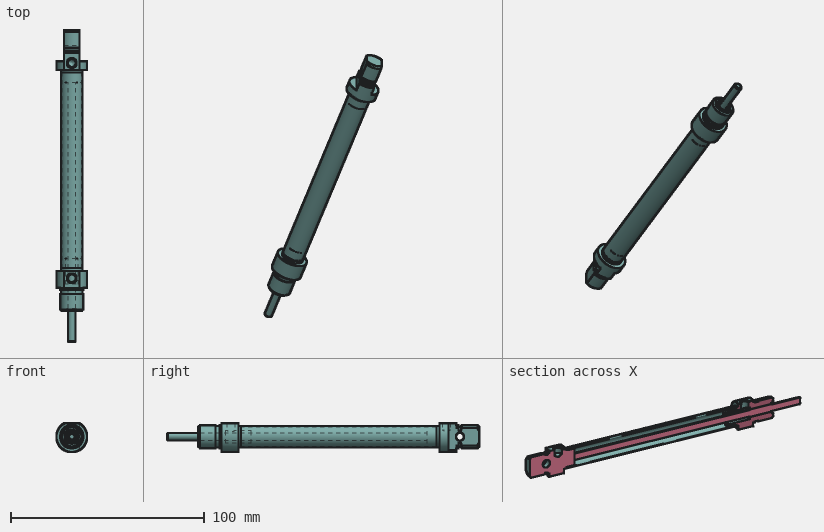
import cadquery as cq
import math


total_length = 161.0
head_diameter = 16.0
port_flat_height = 7.0
thread_diameter = 12.0
thread_chamfer = 1.0
groove_diameter = 11.2

barrel_diameter = 11.27
barrel_bore = 10.0
collar_length = 1.4
spigot_length = 5.0

tang_width = 8.1
rear_groove_diameter = 10.4
rear_groove_start_at = 9.0
rear_groove_end_at = 10.8
rear_groove_slant = 0.5
rear_head_at = 11.8
head_length = 8.8
tang_flat_end_at = 16.0
pivot_hole_diameter = 4.0
pivot_hole_at = 10.0
rear_port_at = 17.0

nose_length = 12.0
shoulder_length = 1.0
front_groove_length = 2.0
rod_extension = 16.0
seal_recess_diameter = 7.3
seal_recess_depth = 0.3
seal_lip_diameter = 6.5
seal_lip_depth = 1.0
seal_lip_floor_diameter = 5.0
cushion_bore = 6.5
cushion_end_clearance = 3.0

port_diameter = 4.13
port_mouth_diameter = 5.1
port_mouth_depth = 0.5
rear_port_depth = 3.5
front_port_setback = 5.0
front_port_depth = 5.5
drill_point_angle = 118.0

rod_diameter = 4.0
rod_chamfer = 0.5

rear_head_end_at = rear_head_at + head_length
barrel_start_at = rear_head_end_at + collar_length
rear_spigot_end_at = barrel_start_at + spigot_length
nose_end_at = total_length - rod_extension
front_head_end_at = nose_end_at - nose_length
front_head_at = front_head_end_at - head_length
barrel_end_at = front_head_at - collar_length
front_spigot_at = barrel_end_at - spigot_length
shoulder_end_at = front_head_end_at + shoulder_length
front_groove_end_at = shoulder_end_at + front_groove_length
front_port_at = front_head_end_at - front_port_setback
cushion_end_at = front_port_at + cushion_end_clearance


def turned(profile):
    """Solid of revolution about Y from (distance from the rear face, diameter) corners."""
    points = [(diameter / 2, -at) for at, diameter in profile]
    first_at = profile[0][0]
    last_at = profile[-1][0]
    outline = cq.Workplane("XY").polyline([(0, -first_at), *points, (0, -last_at)]).close()
    return outline.revolve(360, (0, 0, 0), (0, 1, 0))


def bar(start_at, end_at, diameter):
    """Plain cylinder along Y between two distances from the rear face."""
    return turned([(start_at, diameter), (end_at, diameter)])


def port_flat(start_at, end_at):
    """Block that cuts the flat on top of a head."""
    length = end_at - start_at
    block = cq.Workplane("XY").box(head_diameter, length, head_diameter, centered=(True, True, False))
    return block.translate((0, -(start_at + end_at) / 2, port_flat_height))


def port(at, depth):
    """Vertical port with a countersunk mouth and a drill-point bottom."""
    radius = port_diameter / 2
    floor = port_flat_height - depth
    tip = floor - radius / math.tan(math.radians(drill_point_angle / 2))
    outline = (
        cq.Workplane("XZ")
        .moveTo(0, tip)
        .lineTo(radius, floor)
        .lineTo(radius, port_flat_height - port_mouth_depth)
        .lineTo(port_mouth_diameter / 2, port_flat_height)
        .lineTo(0, port_flat_height)
        .close()
    )
    return outline.revolve(360, (0, 0, 0), (0, 1, 0)).translate((0, -at, 0))


def tang_sides():
    """Pair of blocks that leave a flat-sided tang on the rear cap."""
    blocks = cq.Workplane("XY")
    for side in (-1, 1):
        block = cq.Workplane("XY").box(head_diameter, tang_flat_end_at, 2 * head_diameter)
        shift = side * (tang_width + head_diameter) / 2
        blocks = blocks.add(block.translate((shift, -tang_flat_end_at / 2, 0)))
    return blocks.combine()


def make_rear_cap():
    """Threaded tang, head with port, collar and a spigot that fills the barrel end."""
    cap = turned([
        (0, thread_diameter - 2 * thread_chamfer),
        (thread_chamfer, thread_diameter),
        (rear_groove_start_at, thread_diameter),
        (rear_groove_start_at + rear_groove_slant, rear_groove_diameter),
        (rear_groove_end_at, rear_groove_diameter),
        (rear_groove_end_at, thread_diameter),
        (rear_head_at, thread_diameter),
        (rear_head_at, head_diameter),
        (rear_head_end_at, head_diameter),
        (rear_head_end_at, groove_diameter),
        (barrel_start_at, groove_diameter),
        (barrel_start_at, barrel_bore),
        (rear_spigot_end_at, barrel_bore),
    ])
    pivot_center = cq.Workplane("YZ").center(-pivot_hole_at, 0)
    pivot_hole = pivot_center.circle(pivot_hole_diameter / 2).extrude(head_diameter, both=True)
    cap = cap.cut(tang_sides()).cut(pivot_hole)
    return cap.cut(port_flat(rear_head_at, rear_head_end_at)).cut(port(rear_port_at, rear_port_depth))


def make_front_cap():
    """Head with port and threaded nose, bored for the rod, with a tapered seal recess."""
    cap = turned([
        (front_spigot_at, barrel_bore),
        (barrel_end_at, barrel_bore),
        (barrel_end_at, groove_diameter),
        (front_head_at, groove_diameter),
        (front_head_at, head_diameter),
        (front_head_end_at, head_diameter),
        (front_head_end_at, thread_diameter),
        (shoulder_end_at, thread_diameter),
        (shoulder_end_at, groove_diameter),
        (front_groove_end_at, groove_diameter),
        (front_groove_end_at, thread_diameter),
        (nose_end_at - thread_chamfer, thread_diameter),
        (nose_end_at, thread_diameter - 2 * thread_chamfer),
    ])
    recess_floor_at = nose_end_at - seal_recess_depth
    lip_floor_at = recess_floor_at - seal_lip_depth
    passage = turned([
        (front_spigot_at, cushion_bore),
        (cushion_end_at, cushion_bore),
        (cushion_end_at, rod_diameter),
        (lip_floor_at, rod_diameter),
        (lip_floor_at, seal_lip_floor_diameter),
        (recess_floor_at, seal_lip_diameter),
        (recess_floor_at, seal_recess_diameter),
        (nose_end_at, seal_recess_diameter),
    ])
    cap = cap.cut(port_flat(front_head_at, front_head_end_at))
    return cap.cut(port(front_port_at, front_port_depth)).cut(passage)


def make_barrel():
    """Open tube clamped between the collars of the two caps."""
    tube = bar(barrel_start_at, barrel_end_at, barrel_diameter)
    return tube.cut(bar(barrel_start_at, barrel_end_at, barrel_bore))


def make_rod():
    """Rod that runs from the rear spigot out through the front cap."""
    return turned([
        (rear_spigot_end_at, rod_diameter),
        (total_length - rod_chamfer, rod_diameter),
        (total_length, rod_diameter - 2 * rod_chamfer),
    ])


rear_cap = make_rear_cap()
front_cap = make_front_cap()
barrel = make_barrel()
rod = make_rod()

result = cq.Compound.makeCompound([rear_cap.val(), front_cap.val(), barrel.val(), rod.val()])